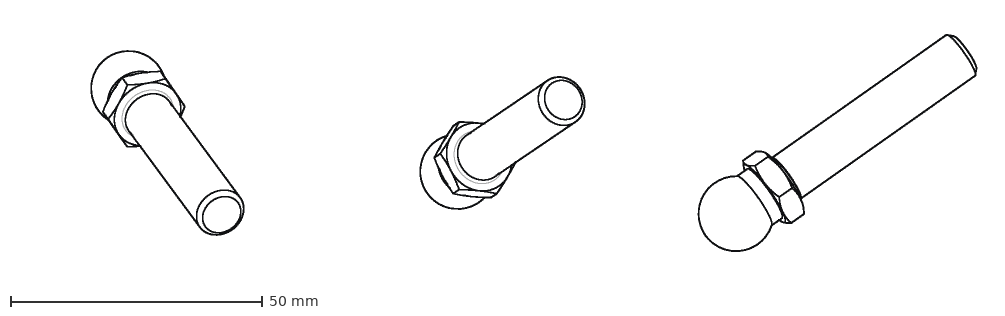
import cadquery as cq
import math

total_length = 64.0
ball_radius = 15.0 / 2
collar_radius = 12.0 / 2
shank_radius = 10.0 / 2
shank_chamfer = 0.95

hex_across_flats = 14.0
hex_across_corners = hex_across_flats / math.cos(math.radians(30))
hex_start = 14.5
hex_length = 4.5
hex_end = hex_start + hex_length
hex_chamfer_angle = 30.0

undercut_radius = 9.1 / 2
undercut_length = 0.9
shank_start = hex_end + undercut_length


def revolve_about_x(profile):
    """Turn a closed XY profile into a solid of revolution about the X axis."""
    return profile.close().revolve(360, (0, 0, 0), (1, 0, 0))


def make_turned_body():
    """All round stretches of the stud as one turned solid."""
    collar_start = ball_radius + math.sqrt(ball_radius**2 - collar_radius**2)
    fillet_offset = undercut_length * (1 - math.sqrt(0.5))
    profile = (
        cq.Workplane("XY")
        .moveTo(0, 0)
        .threePointArc((ball_radius, ball_radius), (collar_start, collar_radius))
        .lineTo(hex_end, collar_radius)
        .lineTo(hex_end, undercut_radius + undercut_length)
        .threePointArc(
            (hex_end + fillet_offset, undercut_radius + fillet_offset),
            (shank_start, undercut_radius),
        )
        .lineTo(shank_start, shank_radius)
        .lineTo(total_length - shank_chamfer, shank_radius)
        .lineTo(total_length, shank_radius - shank_chamfer)
        .lineTo(total_length, 0)
    )
    return revolve_about_x(profile)


def make_hexagon():
    """Hexagon with corners on the Y axis, cut back by a cone at both ends."""
    prism = (
        cq.Workplane("YZ", origin=(hex_start, 0, 0))
        .polygon(6, hex_across_corners)
        .extrude(hex_length)
    )
    corner_radius = hex_across_corners / 2
    end_radius = hex_across_flats / 2
    cone_length = (corner_radius - end_radius) * math.tan(math.radians(hex_chamfer_angle))
    envelope = (
        cq.Workplane("XY")
        .moveTo(hex_start, 0)
        .lineTo(hex_start, end_radius)
        .lineTo(hex_start + cone_length, corner_radius)
        .lineTo(hex_end - cone_length, corner_radius)
        .lineTo(hex_end, end_radius)
        .lineTo(hex_end, 0)
    )
    return prism.intersect(revolve_about_x(envelope))


result = make_turned_body().union(make_hexagon())